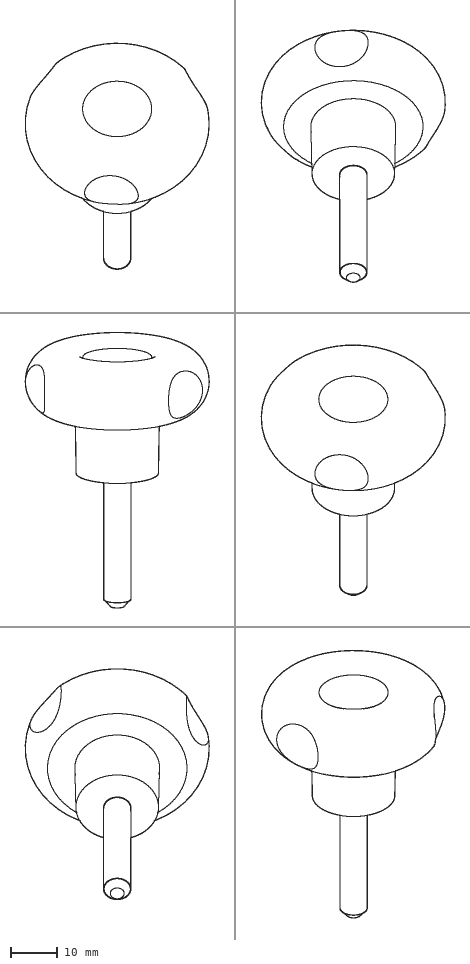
import cadquery as cq
import math

total_height = 58.0
hub_bottom = 30.0
grip_bottom = 43.6

grip_radius = 20.0
ring_section_radius = 7.4
ring_centre_radius = grip_radius - ring_section_radius
ring_centre_height = total_height - ring_section_radius
dish_floor_radius = 15.0 / 2

hub_top_radius = 9.2
hub_bottom_radius = 9.0

stud_radius = 6.0 / 2
core_radius = 2.85
tip_radius = 1.5
tip_height = 1.55
gap_below_hub = 0.2

scallop_count = 3
first_scallop_angle = 90.0
scallop_radius = 14.7
scallop_floor_radius = 17.9
scallop_centre_radius = scallop_floor_radius + scallop_radius


def ring_half_height(radius):
    """Height of the ring section above or below its centre at a radius."""
    return math.sqrt(ring_section_radius**2 - (radius - ring_centre_radius) ** 2)


def turned_body():
    """Revolve the half profile of the stud, hub and grip about Z."""
    drop = ring_centre_height - grip_bottom
    underside_radius = ring_centre_radius + math.sqrt(ring_section_radius**2 - drop**2)
    dish_floor_height = ring_centre_height + ring_half_height(dish_floor_radius)
    profile = (
        cq.Workplane("XZ")
        .lineTo(tip_radius, 0)
        .lineTo(core_radius, tip_height)
        .lineTo(stud_radius, tip_height)
        .lineTo(stud_radius, hub_bottom - gap_below_hub)
        .lineTo(core_radius, hub_bottom - gap_below_hub)
        .lineTo(core_radius, hub_bottom)
        .lineTo(hub_bottom_radius, hub_bottom)
        .lineTo(hub_top_radius, grip_bottom)
        .lineTo(underside_radius, grip_bottom)
        .threePointArc((grip_radius, ring_centre_height), (dish_floor_radius, dish_floor_height))
        .lineTo(0, dish_floor_height)
        .close()
    )
    return profile.revolve(360, (0, 0, 0), (0, 1, 0))


def scallop_cutters():
    """Upright cylinders that cut the scallops through the grip's full height."""
    return (
        cq.Workplane("XY")
        .workplane(offset=grip_bottom)
        .polarArray(scallop_centre_radius, first_scallop_angle, 360, scallop_count)
        .circle(scallop_radius)
        .extrude(total_height - grip_bottom)
    )


result = turned_body().cut(scallop_cutters())